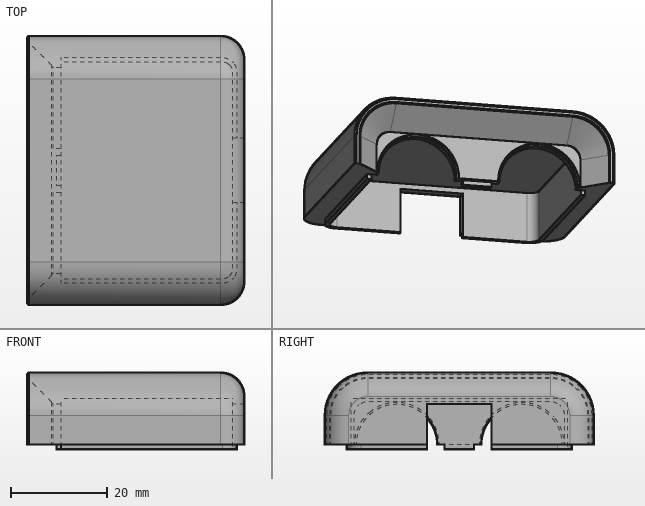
import cadquery as cq

length = 45.22
width = 56.0
height = 15.0
side_radius = 9.0
end_radius = 5.0
rim_chamfer = 0.4

rim_thickness = 1.05
ledge_width = 0.2
ledge_depth = 0.22
mouth_depth = 5.05

arch_radius = 8.4
arch_spacing = 26.0
arch_chamfer = 0.4

lip_front = 6.12
lip_back = 43.65
lip_width = 46.88
lip_thickness = 0.9
lip_height = 1.0
lip_back_radius = 3.0
lip_bridge = 6.2

pocket_front = lip_front + lip_thickness
pocket_back = lip_back - lip_thickness
pocket_width = lip_width - 2 * lip_thickness
pocket_height = 9.6
pocket_corner_radius = lip_back_radius - lip_thickness

notch_width = 13.4
notch_height = arch_radius


def section(inset, x):
    """Closed profile in the plane at x: the outer end profile moved inward by inset."""
    half = width / 2 - inset
    top = height - inset
    radius = side_radius - inset
    bend = radius * (1 - 0.5 ** 0.5)
    return (
        cq.Workplane("YZ", origin=(x, 0, 0))
        .moveTo(-half, 0)
        .lineTo(-half, top - radius)
        .threePointArc((-half + bend, top - bend), (-half + radius, top))
        .lineTo(half - radius, top)
        .threePointArc((half - bend, top - bend), (half, top - radius))
        .lineTo(half, 0)
        .close()
    )


def flare(inset_start, x_start, inset_end, x_end):
    """Tapered solid between two inset profiles."""
    start = section(inset_start, x_start).wires().val()
    end = section(inset_end, x_end).wires().val()
    return cq.Workplane(cq.Solid.makeLoft([start, end], True))


def make_shell():
    """Solid cover body, rounded at the back end and chamfered at the front rim."""
    body = section(0, 0).extrude(length)
    body = body.faces(">X").edges("not <Z").fillet(end_radius)
    return body.faces("<X").edges("not <Z").chamfer(rim_chamfer)


def make_mouth():
    """Shallow straight recess inside the rim, then the 45 degree flare down to the arch wall."""
    flare_start = rim_thickness + ledge_width
    flare_end = flare_start + mouth_depth - ledge_depth
    recess = section(rim_thickness, 0).extrude(ledge_depth)
    return recess.union(flare(flare_start, ledge_depth, flare_end, mouth_depth))


def make_arches():
    """Two round openings with a chamfered front edge."""
    wall = pocket_front - mouth_depth
    mouth_edge = cq.Workplane("YZ", origin=(mouth_depth, 0, 0))
    arches = cq.Workplane()
    for y in (-arch_spacing / 2, arch_spacing / 2):
        bore = mouth_edge.center(y, 0).circle(arch_radius).extrude(wall)
        cone = cq.Solid.makeCone(
            arch_radius + arch_chamfer,
            arch_radius,
            arch_chamfer,
            cq.Vector(mouth_depth, y, 0),
            cq.Vector(1, 0, 0),
        )
        arches = arches.add(bore.union(cq.Workplane(cone)))
    return arches.combine()


def rounded_block(front, back, block_width, corner_radius, bottom, top):
    """Block centred across the part with its two back corners rounded."""
    return (
        cq.Workplane("XY", origin=((front + back) / 2, 0, bottom))
        .rect(back - front, block_width)
        .extrude(top - bottom)
        .edges("|Z and >X")
        .fillet(corner_radius)
    )


def make_pocket():
    """Pocket volume, reaching down through the lip."""
    return rounded_block(
        pocket_front, pocket_back, pocket_width, pocket_corner_radius, -lip_height, pocket_height
    )


def make_lip():
    """Lip outline below the cover; its front side is reduced to a short bridge between the arches."""
    lip = rounded_block(pocket_front, lip_back, lip_width, lip_back_radius, -lip_height, 0)
    bridge = cq.Workplane("XY").box(
        lip_thickness, lip_bridge, lip_height, centered=(False, True, False)
    )
    return lip.union(bridge.translate((lip_front, 0, -lip_height)))


def make_notch():
    """Cable opening through the back wall and the lip below it."""
    notch = cq.Workplane("XY").box(
        length - pocket_back + pocket_corner_radius,
        notch_width,
        notch_height + lip_height,
        centered=(False, True, False),
    )
    return notch.translate((pocket_back - pocket_corner_radius, 0, -lip_height))


cover = make_shell().cut(make_mouth()).cut(make_arches())
result = cover.union(make_lip()).cut(make_pocket()).cut(make_notch())